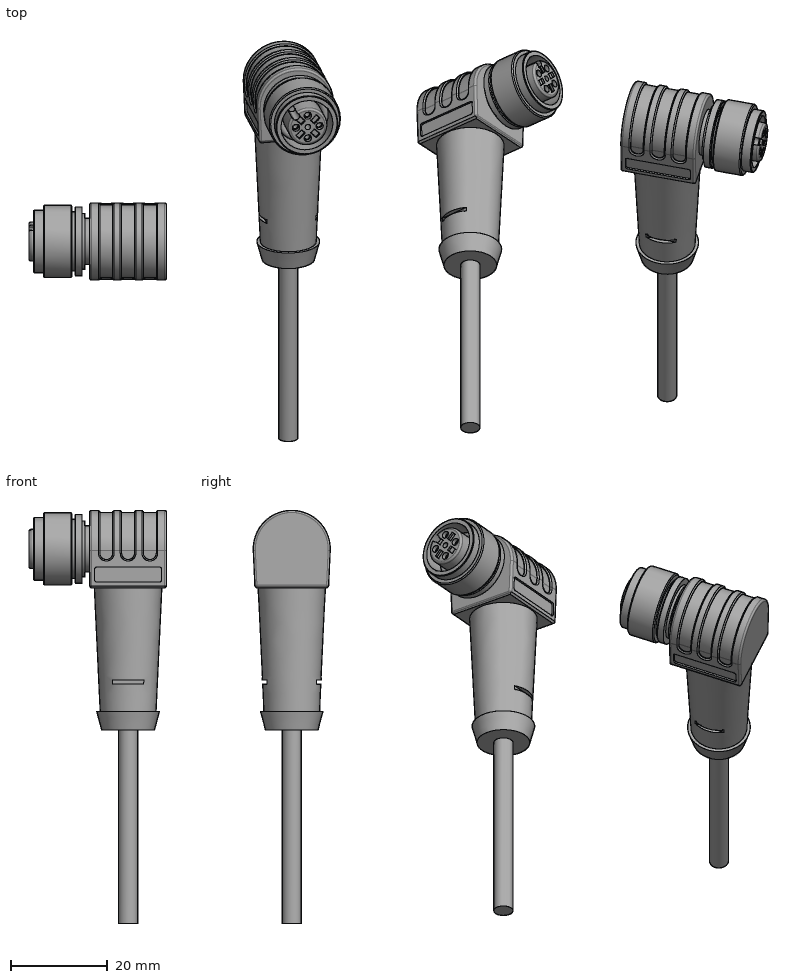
import cadquery as cq
import math


insert_dia = 8.14
insert_fillet = 0.45
sleeve_front = 1.0
sleeve_dia = 13.0
sleeve_chamfer = 0.15
bore_dia = 10.92
bore_depth = 5.0
nut_front = 3.0
nut_back = 8.95
nut_dia = 15.0
nut_chamfer = 0.25
groove_dia = 12.3
flange_front = 9.5
flange_back = 11.0
flange_dia = 14.25
flange_chamfer = 0.2
collar_back = 11.6
collar_dia = 11.6
neck_dia = 9.6

contact_hole_dia = 1.15
contact_rim_dia = 1.5
contact_rim_depth = 1.0
contact_circle_radius = 2.5
contact_hole_depth = 3.0
pocket_length = 1.65
pocket_width = 1.1
pocket_radius = 2.2
pocket_depth = 0.5
key_width = 1.5
key_center_radius = 3.35
key_depth = 5.0

part_length = 28.5
housing_front = 12.55
housing_radius = 15.97 / 2
housing_bottom = -8.1
housing_draft = 2.6
housing_chamfer = 0.4
housing_fillet = 0.45
grip_count = 3
grip_pitch = 4.5
grip_width = 2.65
grip_depth = 0.42
grip_edge_chamfer = 0.3
grip_end_z = -2.2
rim_tolerance = 0.01
label_length = 13.9
label_height = 3.1
label_center_z = -5.3
label_radius = 0.5
label_depth = 0.4

boot_top_dia = 14.0
boot_bottom_dia = 11.6
lip_top_z = -33.6
lip_bottom_z = -37.5
lip_top_dia = 13.0
lip_bottom_dia = 10.92
notch_center_z = -27.55
notch_height = 0.8
notch_floor = 5.15
cable_dia = 4.0
total_height = 85.47

housing_length = part_length - housing_front
housing_mid = (housing_front + part_length) / 2
cable_end_z = housing_radius - total_height
seal_floor = sleeve_front + bore_depth
seal_section = (bore_dia - insert_dia) / 4
seal_ring_radius = (bore_dia + insert_dia) / 4


def disc(x_start, x_end, diameter):
    """Cylinder on the plug axis between two X positions."""
    return cq.Workplane("YZ", origin=(x_start, 0, 0)).circle(diameter / 2).extrude(x_end - x_start)


def make_plug():
    sleeve = disc(sleeve_front, nut_front, sleeve_dia).faces("<X").chamfer(sleeve_chamfer)
    nut = disc(nut_front, nut_back, nut_dia).faces("<X or >X").chamfer(nut_chamfer)
    plug = sleeve.union(nut)
    plug = plug.union(disc(nut_back, flange_front, groove_dia))
    flange = disc(flange_front, flange_back, flange_dia).faces("<X").chamfer(flange_chamfer)
    plug = plug.union(flange)
    plug = plug.union(disc(flange_back, collar_back, collar_dia))
    plug = plug.union(disc(collar_back, housing_front, neck_dia))
    plug = plug.cut(disc(sleeve_front, seal_floor, bore_dia))
    return plug.union(make_insert()).union(make_seal())


def make_seal():
    """Sealing ring half sunk into the floor of the sleeve bore, around the insert."""
    section = cq.Workplane("XY").center(seal_floor, seal_ring_radius).circle(seal_section)
    return section.revolve(360, (0, -seal_ring_radius, 0), (1, -seal_ring_radius, 0))


def make_insert():
    insert = disc(0, seal_floor, insert_dia).faces("<X").edges().fillet(insert_fillet)
    face = cq.Workplane("YZ")
    outer_contacts = face.polarArray(contact_circle_radius, 0, 360, 4)
    insert = insert.cut(outer_contacts.circle(contact_rim_dia / 2).extrude(contact_rim_depth))
    insert = insert.cut(outer_contacts.circle(contact_hole_dia / 2).extrude(contact_hole_depth))
    insert = insert.cut(face.circle(contact_hole_dia / 2).extrude(contact_hole_depth))
    pockets = face.polarArray(pocket_radius, 45, 360, 4).rect(pocket_length, pocket_width)
    insert = insert.cut(pockets.extrude(pocket_depth))
    return insert.cut(make_keyway())


def make_keyway():
    """Round-bottomed keyway, open to the rim of the insert on its upper +Y side."""
    key_length = insert_dia / 2
    radial = cq.Workplane("YZ").transformed(rotate=(0, 0, 45))
    slot = radial.center(key_center_radius + key_length / 2, 0)
    return slot.slot2D(key_length + key_width, key_width).extrude(key_depth)


def housing_prism(inset):
    """Housing cross-section, a round top running tangent into drafted sides, extruded along X."""
    radius = housing_radius - inset
    draft = math.radians(housing_draft)
    tangent_y = radius * math.cos(draft)
    tangent_z = -radius * math.sin(draft)
    bottom_y = tangent_y - (tangent_z - housing_bottom) * math.tan(draft)
    outline = (
        cq.Workplane("YZ", origin=(housing_front, 0, 0))
        .moveTo(-bottom_y, housing_bottom)
        .lineTo(-tangent_y, tangent_z)
        .threePointArc((0, radius), (tangent_y, tangent_z))
        .lineTo(bottom_y, housing_bottom)
        .close()
    )
    return outline.extrude(housing_length)


def make_grip(x_center):
    """Upright band with rounded lower ends, wide enough to pass right across the housing."""
    end_radius = grip_width / 2
    end_center_z = grip_end_z + end_radius
    span = 2 * housing_radius
    outline = (
        cq.Workplane("XZ", origin=(x_center, housing_radius, 0))
        .moveTo(-end_radius, span)
        .lineTo(-end_radius, end_center_z)
        .threePointArc((0, grip_end_z), (end_radius, end_center_z))
        .lineTo(end_radius, span)
        .close()
    )
    return outline.extrude(span)


def cut_grip(housing, x_center):
    """Cut one grip groove of even depth over the top and down both sides, and bevel its rim."""
    groove = make_grip(x_center).cut(housing_prism(grip_depth))
    grooved = housing.cut(groove)
    below_skin = housing_prism(grip_depth / 2).val()
    reach = grip_width / 2 + rim_tolerance

    def is_rim(edge):
        box = edge.BoundingBox()
        in_band = box.xmin > x_center - reach and box.xmax < x_center + reach
        return in_band and not below_skin.isInside(edge.positionAt(0.5))

    return grooved.edges().filter(is_rim).chamfer(grip_edge_chamfer)


def make_housing():
    housing = housing_prism(0).faces("<Z").chamfer(housing_chamfer)
    housing = housing.faces("<X or >X").edges().fillet(housing_fillet)
    for index in range(grip_count):
        x_center = housing_mid + (index - (grip_count - 1) / 2) * grip_pitch
        housing = cut_grip(housing, x_center)
    label = (
        cq.Workplane("XZ", origin=(housing_mid, housing_radius, label_center_z))
        .rect(label_length, label_height)
        .extrude(2 * housing_radius)
        .edges("|Y")
        .fillet(label_radius)
    )
    return housing.cut(label.cut(housing_prism(label_depth)))


def make_boot():
    profile = (
        cq.Workplane("XZ", origin=(housing_mid, 0, 0))
        .moveTo(0, housing_bottom)
        .lineTo(boot_top_dia / 2, housing_bottom)
        .lineTo(boot_bottom_dia / 2, lip_top_z)
        .lineTo(lip_top_dia / 2, lip_top_z)
        .lineTo(lip_bottom_dia / 2, lip_bottom_z)
        .lineTo(cable_dia / 2, lip_bottom_z)
        .lineTo(cable_dia / 2, cable_end_z)
        .lineTo(0, cable_end_z)
        .close()
    )
    boot = profile.revolve(360, (0, 0, 0), (0, 1, 0))
    for side in (-1, 1):
        notch_center = (housing_mid, side * (notch_floor + boot_top_dia / 2), notch_center_z)
        notch = cq.Workplane("XY").box(boot_top_dia, boot_top_dia, notch_height).translate(notch_center)
        boot = boot.cut(notch)
    return boot


result = make_plug().union(make_housing()).union(make_boot())